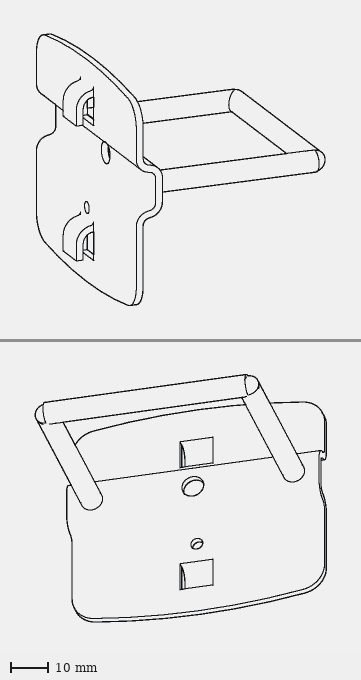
import cadquery as cq
import math


PLATE_WIDTH = 70.0
PLATE_HEIGHT = 62.67
PLATE_TOP = 27.1
PLATE_BOTTOM = PLATE_TOP - PLATE_HEIGHT
THICKNESS = 2.0
EDGE_ARC_RADIUS = 200.0
CORNER_RADIUS = 7.0

CHANNEL_OFFSET = 5.59
CHANNEL_FLAT_HALF = 3.4
BEND_INNER_RADIUS = 2.0
BEND_OUTER_RADIUS = BEND_INNER_RADIUS + THICKNESS
BEND_ANGLE = math.radians(78.0)

CENTER_HOLE_DIAMETER = 6.0
SMALL_HOLE_DIAMETER = 3.24
SMALL_HOLE_X = 0.4
SMALL_HOLE_Z = -14.6

HOOK_WIDTH = 9.15
HOOK_X = 0.5
HOOK_REACH = 5.0
HOOK_INNER_RADIUS = HOOK_REACH - THICKNESS
HOOK_ROOT_FILLET = 1.0
HOOK_LEG = 4.5
WINDOW_GAP = 0.5
UPPER_HOOK_Z = 14.87
HOOK_PITCH = 38.0

WIRE_DIAMETER = 6.0
WIRE_RADIUS = WIRE_DIAMETER / 2
WIRE_HALF_SPAN = 28.0
LOOP_DEPTH = 50.0
CHANNEL_BACK = THICKNESS + CHANNEL_OFFSET
CROSSBAR_Y = CHANNEL_BACK + LOOP_DEPTH - WIRE_RADIUS


def arc_point(center, radius, angle):
    """Point (y, z) on a circle, the angle measured from +Y toward +Z."""
    return (center[0] + radius * math.cos(angle), center[1] + radius * math.sin(angle))


def bend_centers():
    """Centres (y, z) of the channel-side and wing-side bends above the channel."""
    channel_center = (CHANNEL_BACK - BEND_OUTER_RADIUS, CHANNEL_FLAT_HALF)
    bend_radius_sum = BEND_INNER_RADIUS + BEND_OUTER_RADIUS
    bend_offset = bend_radius_sum * (1 - math.cos(BEND_ANGLE))
    web_length = (CHANNEL_OFFSET - bend_offset) / math.sin(BEND_ANGLE)
    rise = bend_radius_sum * math.sin(BEND_ANGLE) + web_length * math.cos(BEND_ANGLE)
    return channel_center, (BEND_OUTER_RADIUS, CHANNEL_FLAT_HALF + rise)


def upper_wing():
    """Bent strip from the channel middle upward, full width, long enough for either wing."""
    channel_center, wing_center = bend_centers()
    half_bend = BEND_ANGLE / 2
    wing_start = math.pi
    wing_end = math.pi + BEND_ANGLE
    wing_mid = math.pi + half_bend
    wing_z = wing_center[1]
    blank_top = max(PLATE_TOP, -PLATE_BOTTOM)
    profile = (
        cq.Workplane("YZ")
        .moveTo(CHANNEL_BACK, 0)
        .lineTo(*arc_point(channel_center, BEND_OUTER_RADIUS, 0))
        .threePointArc(
            arc_point(channel_center, BEND_OUTER_RADIUS, half_bend),
            arc_point(channel_center, BEND_OUTER_RADIUS, BEND_ANGLE),
        )
        .lineTo(*arc_point(wing_center, BEND_INNER_RADIUS, wing_end))
        .threePointArc(
            arc_point(wing_center, BEND_INNER_RADIUS, wing_mid),
            arc_point(wing_center, BEND_INNER_RADIUS, wing_start),
        )
        .lineTo(THICKNESS, blank_top)
        .lineTo(0, blank_top)
        .lineTo(0, wing_z)
        .threePointArc(
            arc_point(wing_center, BEND_OUTER_RADIUS, wing_mid),
            arc_point(wing_center, BEND_OUTER_RADIUS, wing_end),
        )
        .lineTo(*arc_point(channel_center, BEND_INNER_RADIUS, BEND_ANGLE))
        .threePointArc(
            arc_point(channel_center, BEND_INNER_RADIUS, half_bend),
            arc_point(channel_center, BEND_INNER_RADIUS, 0),
        )
        .lineTo(CHANNEL_BACK - THICKNESS, 0)
        .close()
    )
    return profile.extrude(PLATE_WIDTH / 2, both=True)


def plate_outline():
    """Prism along Y with crowned top and bottom edges and rounded corners."""
    half_width = PLATE_WIDTH / 2
    crown = EDGE_ARC_RADIUS - math.sqrt(EDGE_ARC_RADIUS**2 - half_width**2)
    shoulder_top = PLATE_TOP - crown
    shoulder_bottom = PLATE_BOTTOM + crown
    return (
        cq.Workplane("XZ")
        .moveTo(-half_width, shoulder_bottom)
        .lineTo(-half_width, shoulder_top)
        .threePointArc((0, PLATE_TOP), (half_width, shoulder_top))
        .lineTo(half_width, shoulder_bottom)
        .threePointArc((0, PLATE_BOTTOM), (-half_width, shoulder_bottom))
        .close()
        .extrude(-CHANNEL_BACK)
        .edges("|Y")
        .fillet(CORNER_RADIUS)
    )


def bent_plate():
    """Channelled plate, symmetric bends, trimmed to the outline."""
    wing = upper_wing()
    return wing.union(wing.mirror("XY")).intersect(plate_outline())


def round_hole(x, z, diameter):
    """Cutter along Y through the whole plate depth."""
    return cq.Workplane("XZ").center(x, z).circle(diameter / 2).extrude(-CHANNEL_BACK)


def hook_window(center_z):
    """Cutter for the opening the hook was bent out of."""
    top = center_z + HOOK_INNER_RADIUS
    bottom = center_z - HOOK_LEG - WINDOW_GAP
    return (
        cq.Workplane("XY")
        .box(HOOK_WIDTH, THICKNESS, top - bottom, centered=(True, False, False))
        .translate((HOOK_X, 0, bottom))
    )


def hook(center_z):
    """Strip curving forward and down from the plate, with a filleted root on top."""
    center = (0, center_z)
    tip_z = center_z - HOOK_LEG
    middle_angle = 3 * math.pi / 4

    fillet_rise = math.sqrt((HOOK_REACH + HOOK_ROOT_FILLET) ** 2 - HOOK_ROOT_FILLET**2)
    fillet_center = (-HOOK_ROOT_FILLET, center_z + fillet_rise)
    touch_angle = math.atan2(fillet_rise, -HOOK_ROOT_FILLET)
    fillet_end_angle = touch_angle - math.pi
    profile = (
        cq.Workplane("YZ")
        .moveTo(0, center_z + HOOK_INNER_RADIUS)
        .lineTo(*arc_point(fillet_center, HOOK_ROOT_FILLET, 0))
        .threePointArc(
            arc_point(fillet_center, HOOK_ROOT_FILLET, fillet_end_angle / 2),
            arc_point(fillet_center, HOOK_ROOT_FILLET, fillet_end_angle),
        )
        .threePointArc(
            arc_point(center, HOOK_REACH, middle_angle),
            (-HOOK_REACH, center_z),
        )
        .lineTo(-HOOK_REACH, tip_z)
        .lineTo(-HOOK_INNER_RADIUS, tip_z)
        .lineTo(-HOOK_INNER_RADIUS, center_z)
        .threePointArc(
            arc_point(center, HOOK_INNER_RADIUS, middle_angle),
            (0, center_z + HOOK_INNER_RADIUS),
        )
        .close()
    )
    return profile.extrude(HOOK_WIDTH / 2, both=True).translate((HOOK_X, 0, 0))


def wire_loop():
    """Two legs and a crossbar of round wire, meeting in ball-shaped corners."""
    path = (
        cq.Workplane("XY")
        .moveTo(-WIRE_HALF_SPAN, CHANNEL_BACK)
        .lineTo(-WIRE_HALF_SPAN, CROSSBAR_Y)
        .lineTo(WIRE_HALF_SPAN, CROSSBAR_Y)
        .lineTo(WIRE_HALF_SPAN, CHANNEL_BACK)
    )
    return (
        cq.Workplane("XZ", origin=(-WIRE_HALF_SPAN, CHANNEL_BACK, 0))
        .circle(WIRE_RADIUS)
        .sweep(path, transition="round")
    )


part = bent_plate()
part = part.cut(round_hole(0, 0, CENTER_HOLE_DIAMETER))
part = part.cut(round_hole(SMALL_HOLE_X, SMALL_HOLE_Z, SMALL_HOLE_DIAMETER))
for hook_z in (UPPER_HOOK_Z, UPPER_HOOK_Z - HOOK_PITCH):
    part = part.cut(hook_window(hook_z)).union(hook(hook_z))
result = part.union(wire_loop())